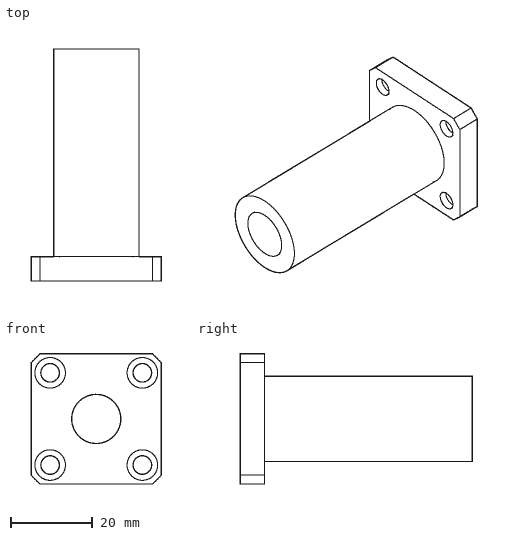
import cadquery as cq
import math

overall_length = 57.0
sleeve_diameter = 21.0
bore_diameter = 12.0

flange_side = 32.0
flange_thickness = 6.0
corner_chamfer = 2.2

bolt_circle_diameter = 32.0
bolt_hole_diameter = 4.5
counterbore_diameter = 7.5
counterbore_depth = 4.1

bolt_spacing = bolt_circle_diameter / math.sqrt(2)


def cylinder_along_y(diameter, length):
    """Cylinder centred on the Y axis, from Y = 0 towards +Y."""
    return cq.Workplane("XZ").circle(diameter / 2).extrude(-length)


def make_flange():
    """Square plate with its four corners chamfered."""
    plate = cq.Workplane("XZ").rect(flange_side, flange_side).extrude(-flange_thickness)
    return plate.edges("|Y").chamfer(corner_chamfer)


def cut_bolt_holes(body):
    """Four through holes on a square pattern, counterbored from the flange face."""
    return (
        body.faces("<Y")
        .workplane(origin=(0, 0, 0))
        .rect(bolt_spacing, bolt_spacing, forConstruction=True)
        .vertices()
        .cboreHole(bolt_hole_diameter, counterbore_diameter, counterbore_depth, flange_thickness)
    )


flange = cut_bolt_holes(make_flange())
sleeve = cylinder_along_y(sleeve_diameter, overall_length)
bore = cylinder_along_y(bore_diameter, overall_length)

result = flange.union(sleeve).cut(bore)